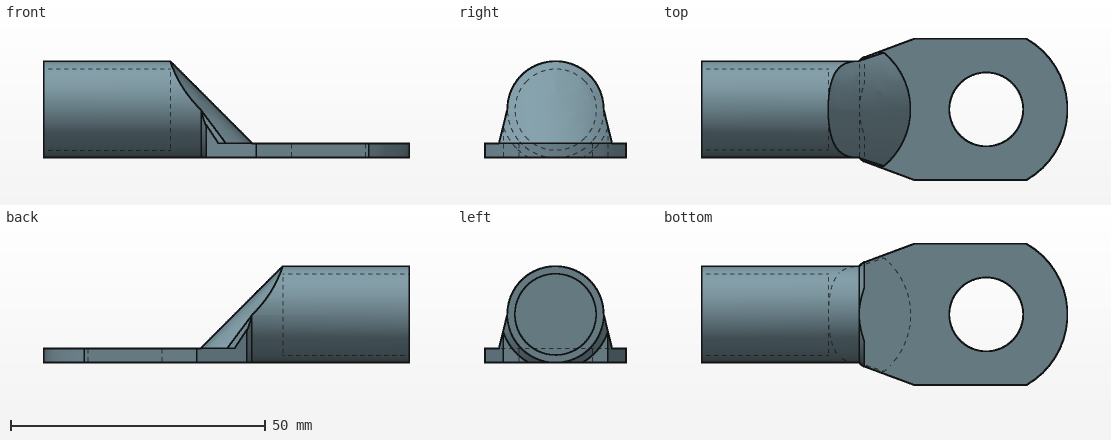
import cadquery as cq
import math

barrel_diameter = 19.0
barrel_radius = barrel_diameter / 2
bore_radius = 16.0 / 2
slope_start = 24.9
bore_depth = slope_start

flare_start = 31.0
tongue_start = 32.0
flare_radius = 10.85

thickness = 2.8
tongue_width = 27.8
tongue_start_width = 20.5
shoulder_end = 41.8
stud_x = 56.0
stud_hole_diameter = 14.5
tip_radius = 16.0

neck_foot_half_width = 11.15
slope_nose_radius = 14.5
slope_foot = slope_start + barrel_diameter
slope_half_width = tongue_width / 2


def make_tongue(height):
    """Tongue outline with a tapered root and a round tip, standing on Z = 0."""
    half_width = tongue_width / 2
    half_start = tongue_start_width / 2
    tip_start = stud_x + math.sqrt(tip_radius**2 - half_width**2)
    return (
        cq.Workplane("XY")
        .moveTo(tongue_start, -half_start)
        .lineTo(shoulder_end, -half_width)
        .lineTo(tip_start, -half_width)
        .threePointArc((stud_x + tip_radius, 0), (tip_start, half_width))
        .lineTo(shoulder_end, half_width)
        .lineTo(tongue_start, half_start)
        .close()
        .extrude(height)
    )


def make_neck_bar():
    """Bar along X with a round top and sides that spread down to the tongue."""
    return (
        cq.Workplane("YZ")
        .moveTo(-neck_foot_half_width, 0)
        .lineTo(neck_foot_half_width, 0)
        .lineTo(neck_foot_half_width, thickness)
        .lineTo(barrel_radius, barrel_radius)
        .threePointArc((0, barrel_diameter), (-barrel_radius, barrel_radius))
        .lineTo(-neck_foot_half_width, thickness)
        .close()
        .extrude(slope_foot)
    )


def make_flare():
    """Cone that widens from the barrel to the front face of the tongue."""
    return (
        cq.Workplane("XY")
        .moveTo(flare_start, 0)
        .lineTo(flare_start, barrel_radius)
        .lineTo(tongue_start, flare_radius)
        .lineTo(tongue_start, 0)
        .close()
        .revolve(360, (0, 0, 0), (1, 0, 0))
        .translate((0, 0, barrel_radius))
    )


def make_slope_envelope():
    """Space behind the slope: a round-nosed outline swept upward and backward at 45 degrees."""
    nose_depth = slope_nose_radius - math.sqrt(slope_nose_radius**2 - slope_half_width**2)
    nose_start = slope_foot - nose_depth
    outline = (
        cq.Workplane("XY")
        .moveTo(0, -slope_half_width)
        .lineTo(nose_start, -slope_half_width)
        .threePointArc((slope_foot, 0), (nose_start, slope_half_width))
        .lineTo(0, slope_half_width)
        .close()
    )
    sweep = cq.Vector(-barrel_diameter, 0, barrel_diameter)
    return cq.Workplane(cq.Solid.extrudeLinear(outline.val(), [], sweep))


barrel = cq.Workplane("YZ").center(0, barrel_radius).circle(barrel_radius).extrude(slope_foot)
bore = cq.Workplane("YZ").center(0, barrel_radius).circle(bore_radius).extrude(bore_depth)
stud_hole = cq.Workplane("XY").center(stud_x, 0).circle(stud_hole_diameter / 2).extrude(thickness)

neck_bar = make_neck_bar()
neck = make_tongue(barrel_diameter).union(make_flare()).intersect(neck_bar)
barrel_and_neck = barrel.union(neck).intersect(make_slope_envelope())

result = barrel_and_neck.union(make_tongue(thickness)).cut(bore).cut(stud_hole)